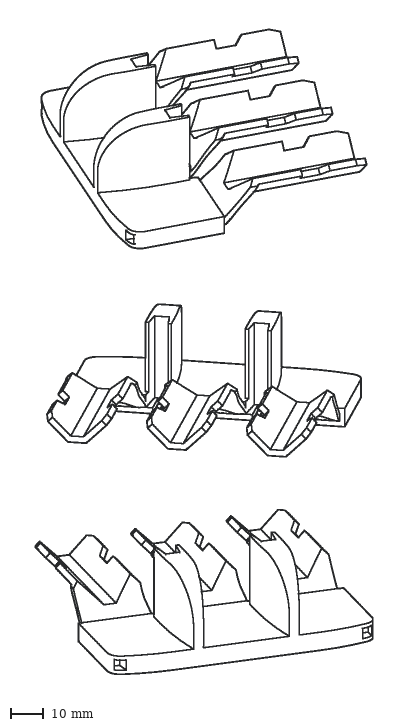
import cadquery as cq
import math


PLATE_WIDTH = 85.7
PLATE_DEPTH = 31.8
PLATE_THICKNESS = 6.0
FRONT_FLAT_WIDTH = 47.65
FRONT_ARC_RADIUS = 65.1
CORNER_RADIUS = 4.3

TAB_COUNT = 3
TAB_PITCH = 30.9
TAB_PLACES = [(i - (TAB_COUNT - 1) / 2) * TAB_PITCH for i in range(TAB_COUNT)]
FIN_PLACES = [(a + b) / 2 for a, b in zip(TAB_PLACES, TAB_PLACES[1:])]

FIN_HEIGHT = 28.5
FIN_BACK = -2.9
FIN_HALF_WIDTH = 4.0
FIN_FRONT_HALF_WIDTH = 1.6
NOSE_START = -16.3
NOSE_BASE = 14.4
NOTCH_DEPTH = 8.65
NOTCH_MOUTH_HALF_WIDTH = 3.3
NOTCH_END_HALF_WIDTH = 2.3
SLOT_WIDTH = 2.4

SHEET_THICKNESS = 2.05
ARM_ANGLE = 45.0
TAB_END = 47.0
TAB_TOP = 15.5
FLOOR_TOP = 8.9
FLOOR_HALF_WIDTH = 2.0
ARM_RISE = TAB_TOP - FLOOR_TOP
ARM_TIP = FLOOR_HALF_WIDTH + ARM_RISE
ARM_EDGE = SHEET_THICKNESS / math.sqrt(2)
FLOOR_UNDERSIDE = FLOOR_TOP - SHEET_THICKNESS
UNDERSIDE_HALF_WIDTH = FLOOR_HALF_WIDTH + SHEET_THICKNESS * math.tan(math.radians(ARM_ANGLE / 2))
ARM_OUTER_X = ARM_TIP + ARM_EDGE
ARM_OUTER_Z = TAB_TOP - ARM_EDGE

LATCH_BACK = 25.9
LATCH_FLOOR_END = 32.2
LATCH_FRONT = 34.8
LATCH_DROP = 2.05
TIP_CHAMFER_LENGTH = 3.4
TIP_CHAMFER_DROP = 0.9

RAMP_END = 11.8
RAMP_FOOT = (PLATE_THICKNESS - SHEET_THICKNESS) / 2
RAMP_MIDDLE = (4.1, 8.2)
RAMP_CREST = 10.4
RAMP_UNDERSIDE = [
    (0, RAMP_FOOT),
    (2.8, 3.0),
    (8.6, 6.25),
    (10.6, 6.8),
]
ROOT_FLOOR_HALF_WIDTH = 11.1
ROOT_HALF_WIDTH = TAB_PITCH / 2 - NOTCH_MOUTH_HALF_WIDTH
ROOT_TAPER = (NOTCH_MOUTH_HALF_WIDTH - NOTCH_END_HALF_WIDTH) / NOTCH_DEPTH
SIDE_MARGIN = 1.5

POCKET_HEIGHT = 3.3
POCKET_OUTER = (41.6, -25.7)
POCKET_INNER = (38.8, -25.7)
POCKET_MOUTH = (38.2, -29.8)

CLEAR = 8.6


def plate():
    half = PLATE_WIDTH / 2
    flat = FRONT_FLAT_WIDTH / 2

    def front_y(x):
        run = x - flat
        return -PLATE_DEPTH + FRONT_ARC_RADIUS - math.sqrt(FRONT_ARC_RADIUS**2 - run**2)

    side = front_y(half)
    middle = (flat + half) / 2
    return (
        cq.Workplane("XY")
        .moveTo(-half, 0)
        .lineTo(half, 0)
        .lineTo(half, side)
        .threePointArc((middle, front_y(middle)), (flat, -PLATE_DEPTH))
        .lineTo(-flat, -PLATE_DEPTH)
        .threePointArc((-middle, front_y(middle)), (-half, side))
        .close()
        .extrude(PLATE_THICKNESS)
        .faces("<X or >X")
        .edges("|Z and (not >Y)")
        .fillet(CORNER_RADIUS)
    )


def corner_pocket():
    """Cutter for the pocket in the +X front corner; its open sides lie outside the plate."""
    outside_y = -PLATE_DEPTH - CLEAR
    return (
        cq.Workplane("XY", origin=(0, 0, (PLATE_THICKNESS - POCKET_HEIGHT) / 2))
        .polyline([
            POCKET_OUTER,
            POCKET_INNER,
            POCKET_MOUTH,
            (POCKET_MOUTH[0], outside_y),
            (POCKET_OUTER[0], outside_y),
        ])
        .close()
        .extrude(POCKET_HEIGHT)
    )


def fin(x):
    """Upright fin whose sides narrow in arcs toward a rounded nose at the plate's front."""
    run = PLATE_DEPTH - NOTCH_DEPTH
    narrowing = FIN_HALF_WIDTH - FIN_FRONT_HALF_WIDTH
    side_radius = (run**2 + narrowing**2) / (2 * narrowing)
    middle_y = -NOTCH_DEPTH - run / 2
    middle_x = FIN_HALF_WIDTH - side_radius + math.sqrt(side_radius**2 - (run / 2) ** 2)
    plan = (
        cq.Workplane("XY")
        .moveTo(-FIN_HALF_WIDTH, FIN_BACK)
        .lineTo(FIN_HALF_WIDTH, FIN_BACK)
        .lineTo(FIN_HALF_WIDTH, -NOTCH_DEPTH)
        .threePointArc((middle_x, middle_y), (FIN_FRONT_HALF_WIDTH, -PLATE_DEPTH))
        .lineTo(-FIN_FRONT_HALF_WIDTH, -PLATE_DEPTH)
        .threePointArc((-middle_x, middle_y), (-FIN_HALF_WIDTH, -NOTCH_DEPTH))
        .close()
        .extrude(FIN_HEIGHT)
    )
    profile = (
        cq.Workplane("YZ")
        .moveTo(FIN_BACK, 0)
        .lineTo(FIN_BACK, FIN_HEIGHT)
        .lineTo(NOSE_START, FIN_HEIGHT)
        .tangentArcPoint((-PLATE_DEPTH, NOSE_BASE), relative=False)
        .lineTo(-PLATE_DEPTH, 0)
        .close()
        .extrude(FIN_HALF_WIDTH, both=True)
    )
    return plan.intersect(profile).translate((x, 0, 0))


def fin_notch(x):
    """Cutter for the tapered notch in a fin's back and the narrower slot through the plate."""
    notch = (
        cq.Workplane("XY", origin=(x, 0, RAMP_FOOT))
        .polyline([
            (-NOTCH_MOUTH_HALF_WIDTH, 0),
            (NOTCH_MOUTH_HALF_WIDTH, 0),
            (NOTCH_END_HALF_WIDTH, -NOTCH_DEPTH),
            (-NOTCH_END_HALF_WIDTH, -NOTCH_DEPTH),
        ])
        .close()
        .extrude(FIN_HEIGHT)
    )
    slot = (
        cq.Workplane("XY")
        .center(x, -NOTCH_DEPTH / 2)
        .rect(SLOT_WIDTH, NOTCH_DEPTH)
        .extrude(PLATE_THICKNESS)
    )
    return notch.union(slot)


def mirrored_outline(right_half):
    """Complete a list of (x, z) points, given from the middle outward, with its mirror image."""
    return [(-x, z) for x, z in reversed(right_half)] + right_half


def channel():
    """Straight bent-sheet channel of one tab."""
    outline = mirrored_outline([(FLOOR_HALF_WIDTH, FLOOR_TOP), (ARM_TIP, TAB_TOP)])
    underside = mirrored_outline([
        (UNDERSIDE_HALF_WIDTH, FLOOR_UNDERSIDE),
        (ARM_OUTER_X, ARM_OUTER_Z),
    ])
    return (
        cq.Workplane("XZ", origin=(0, TAB_END, 0))
        .polyline(outline + underside[::-1])
        .close()
        .extrude(TAB_END - RAMP_END)
    )


def arm_edge_cut(points):
    """Cutters for both arms, square to the sheet; points are (place along Y, drop below the top)."""
    arm_plane = cq.Plane(origin=(ARM_TIP, 0, TAB_TOP), xDir=(0, 1, 0), normal=(-1, 0, 1))
    right = (
        cq.Workplane(arm_plane)
        .polyline([(y, drop * math.sqrt(2)) for y, drop in points])
        .close()
        .extrude(2 * SHEET_THICKNESS, both=True)
    )
    return right.union(right.mirror("YZ"))


def ramp_section(y, half_width, edge_z, floor_half_width, floor_z):
    """Cross-section of the solid ramp, with its shaped underside and a plain high top."""
    underside = mirrored_outline([(floor_half_width, floor_z), (half_width, edge_z)])
    top = TAB_TOP + CLEAR
    points = [(-half_width, top)] + underside + [(half_width, top)]
    return cq.Wire.makePolygon([cq.Vector(x, y, z) for x, z in points], close=True)


def ramp():
    """Bent sheet climbing from the plate's rear edge into the channel."""
    def root_half_width(y):
        return ROOT_HALF_WIDTH - ROOT_TAPER * y

    def edge_z(y):
        return RAMP_FOOT + (ARM_OUTER_Z - RAMP_FOOT) * y / RAMP_END

    def floor_half_width(y):
        share = y / RAMP_END
        return ROOT_FLOOR_HALF_WIDTH + (UNDERSIDE_HALF_WIDTH - ROOT_FLOOR_HALF_WIDTH) * share

    sections = [
        ramp_section(y, root_half_width(y), edge_z(y), floor_half_width(y), floor_z)
        for y, floor_z in RAMP_UNDERSIDE
    ]
    sections.append(
        ramp_section(RAMP_END, ARM_OUTER_X, ARM_OUTER_Z, UNDERSIDE_HALF_WIDTH, FLOOR_UNDERSIDE)
    )
    body = cq.Workplane(cq.Solid.makeLoft(sections))

    reach = ROOT_HALF_WIDTH + CLEAR
    channel_top = mirrored_outline([
        (FLOOR_HALF_WIDTH, FLOOR_TOP),
        (ARM_TIP, TAB_TOP),
        (reach, TAB_TOP + ARM_TIP - reach),
    ])
    under_channel = (
        cq.Workplane("XZ", origin=(0, RAMP_END, 0))
        .polyline(channel_top + [(reach, -CLEAR), (-reach, -CLEAR)])
        .close()
        .extrude(RAMP_END)
    )
    under_slope = (
        cq.Workplane("YZ")
        .moveTo(0, -CLEAR)
        .lineTo(0, RAMP_FOOT + SHEET_THICKNESS)
        .threePointArc(RAMP_MIDDLE, (RAMP_CREST, TAB_TOP))
        .lineTo(RAMP_END, TAB_TOP)
        .lineTo(RAMP_END, -CLEAR)
        .close()
        .extrude(reach, both=True)
    )
    return body.intersect(under_channel).intersect(under_slope)


def tab():
    latch = arm_edge_cut([
        (LATCH_BACK, 0),
        (LATCH_BACK, LATCH_DROP),
        (LATCH_FLOOR_END, LATCH_DROP),
        (LATCH_FRONT, 0),
    ])
    tip_chamfer = arm_edge_cut([
        (TAB_END - TIP_CHAMFER_LENGTH, 0),
        (TAB_END, TIP_CHAMFER_DROP),
        (TAB_END, 0),
    ])
    return channel().cut(latch).cut(tip_chamfer).union(ramp())


result = plate()
for place in FIN_PLACES:
    result = result.union(fin(place)).cut(fin_notch(place))

pocket = corner_pocket()
result = result.cut(pocket).cut(pocket.mirror("YZ"))

tab_limits = cq.Workplane("XY").box(PLATE_WIDTH - 2 * SIDE_MARGIN, 2 * TAB_END, 2 * FIN_HEIGHT)
for place in TAB_PLACES:
    result = result.union(tab().translate((place, 0, 0)).intersect(tab_limits))